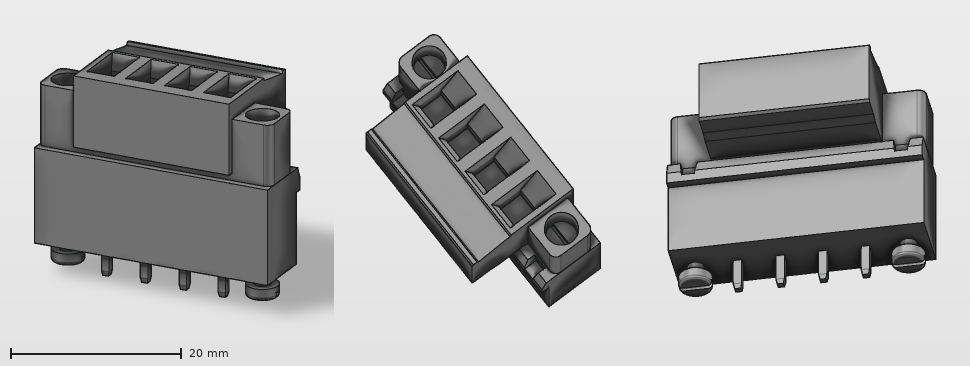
import cadquery as cq


length = 30.48
pole_count = 4
pitch = length / (pole_count + 2)
pole_xs = [pitch * (pole + 1.5) for pole in range(pole_count)]
screw_xs = [pitch / 2, length - pitch / 2]
axis_y = 3.78

header_depth = 7.62
header_height = 12.0
lip_back_y = 8.63
lip_bottom_z = 9.02
lip_bevel_z = 10.42
lip_bevel_y = 8.0
notch_width = 2.0
notch_front_y = 6.95
notch_depth = 2.0
notch_side_slant = 0.25

flange_end_inset = 0.03
flange_front_y = 0.9
flange_back_y = 6.77
flange_top_z = 19.72
flange_corner_radius = 0.95

plug_width = pole_count * pitch
plug_front_y = 0.1
plug_back_y = 15.05
plug_bottom_z = 12.95
plug_top_z = 21.9

mouth_width = 3.57
mouth_front_y = 2.07
mouth_back_y = 8.85
mouth_depth = 1.98
well_width = 3.0
well_front_y = 4.8
well_back_y = 8.0
well_depth = 2.0

screw_hole_diameter = 4.0
screw_hole_depth = 5.0
screw_hole_floor_z = flange_top_z - screw_hole_depth
upper_head_diameter = 3.8
upper_head_height = 1.0
shank_diameter = 2.0
shank_length = 1.5
lower_head_diameter = 4.0
lower_head_height = 1.55
lower_head_radius = 0.5
upper_slot_width = 0.43
lower_slot_width = 0.58
slot_depth = 0.82

pin_width = 1.0
pin_thickness = 0.95
pin_length = 4.0
pin_taper_length = 0.65
pin_tip_width = 0.73


def box(x_min, x_max, y_min, y_max, z_min, z_max):
    """Axis-aligned block between the given limits."""
    size = (x_max - x_min, y_max - y_min, z_max - z_min)
    return cq.Workplane("XY").box(*size, centered=False).translate((x_min, y_min, z_min))


def cylinder(x, diameter, z_bottom, height):
    """Upright cylinder on the common axis plane of screws and pins."""
    return cq.Workplane("XY", origin=(x, axis_y, z_bottom)).circle(diameter / 2).extrude(height)


def make_header():
    """Header body with a bevelled latching lip along its upper back edge."""
    profile = [
        (0, 0),
        (header_depth, 0),
        (header_depth, lip_bottom_z),
        (lip_back_y, lip_bottom_z),
        (lip_back_y, lip_bevel_z),
        (lip_bevel_y, header_height),
        (0, header_height),
    ]
    return cq.Workplane("YZ").polyline(profile).close().extrude(length)


def make_lip_notch(x):
    """Notch in the lip, open at the back, with sides leaning in towards its floor."""
    half_top = notch_width / 2
    half_floor = half_top - notch_side_slant
    floor_z = header_height - notch_depth
    profile = [
        (x - half_top, header_height),
        (x + half_top, header_height),
        (x + half_floor, floor_z),
        (x - half_floor, floor_z),
    ]
    start = cq.Workplane("XZ", origin=(0, lip_back_y, 0))
    return start.polyline(profile).close().extrude(lip_back_y - notch_front_y)


def make_flange():
    """Block along the top of the header, with rounded upright edges."""
    left_x = flange_end_inset
    right_x = length - flange_end_inset
    flange = box(left_x, right_x, flange_front_y, flange_back_y, header_height, flange_top_z)
    return flange.edges("|Z").fillet(flange_corner_radius)


def make_plug():
    """Plug body overhanging the back of the header."""
    profile = [
        (plug_front_y, plug_bottom_z),
        (plug_front_y, plug_top_z),
        (9.27, plug_top_z),
        (9.45, 21.58),
        (14.1, 20.8),
        (14.33, 21.18),
        (14.85, 21.1),
        (plug_back_y, 20.97),
        (plug_back_y, 13.25),
        (14.75, plug_bottom_z),
        (12.37, plug_bottom_z),
        (11.15, 12.55),
        (7.6, 12.55),
        (flange_back_y, header_height),
        (flange_front_y, header_height),
        (flange_front_y, plug_bottom_z),
    ]
    start = cq.Workplane("YZ", origin=((length - plug_width) / 2, 0, 0))
    return start.polyline(profile).close().extrude(plug_width)


def make_wire_funnel(x):
    """Tapered wire entry above a straight well."""
    mouth_center_y = (mouth_front_y + mouth_back_y) / 2
    well_center_y = (well_front_y + well_back_y) / 2
    mouth = (
        cq.Workplane("XY", origin=(x, mouth_center_y, plug_top_z))
        .rect(mouth_width, mouth_back_y - mouth_front_y)
        .workplane(offset=-mouth_depth)
        .center(0, well_center_y - mouth_center_y)
        .rect(well_width, well_back_y - well_front_y)
        .loft(ruled=True)
    )
    well_top_z = plug_top_z - mouth_depth
    half_width = well_width / 2
    well = box(
        x - half_width, x + half_width, well_front_y, well_back_y, well_top_z - well_depth, well_top_z
    )
    return mouth.union(well)


def make_slot(x, width, z_bottom):
    """Screwdriver slot running along X across a screw head."""
    reach = lower_head_diameter / 2
    half_width = width / 2
    return box(
        x - reach, x + reach, axis_y - half_width, axis_y + half_width, z_bottom, z_bottom + slot_depth
    )


def make_upper_head(x):
    """Slotted screw head lying on the floor of its access hole."""
    slot_floor_z = screw_hole_floor_z + upper_head_height - slot_depth
    head = cylinder(x, upper_head_diameter, screw_hole_floor_z, upper_head_height)
    return head.cut(make_slot(x, upper_slot_width, slot_floor_z))


def make_lower_screw(x):
    """Slotted screw hanging below the header, head rounded at the bottom."""
    head_bottom_z = -shank_length - lower_head_height
    head = cylinder(x, lower_head_diameter, head_bottom_z, lower_head_height)
    head = head.faces("<Z").edges().fillet(lower_head_radius)
    shank = cylinder(x, shank_diameter, -shank_length, shank_length)
    return head.cut(make_slot(x, lower_slot_width, head_bottom_z)).union(shank)


def make_pin(x):
    """Rectangular solder pin with a tapered tip."""
    shaft_length = pin_length - pin_taper_length
    start = cq.Workplane("XY", origin=(x, axis_y, 0))
    shaft = start.rect(pin_width, pin_thickness).extrude(-shaft_length)
    tip = (
        start.workplane(offset=-shaft_length)
        .rect(pin_width, pin_thickness)
        .workplane(offset=-pin_taper_length)
        .rect(pin_tip_width, pin_tip_width)
        .loft(ruled=True)
    )
    return shaft.union(tip)


result = make_header().union(make_flange()).union(make_plug())

for pole_x in pole_xs:
    result = result.cut(make_wire_funnel(pole_x)).union(make_pin(pole_x))

for screw_x in screw_xs:
    result = result.cut(make_lip_notch(screw_x))
    result = result.cut(cylinder(screw_x, screw_hole_diameter, screw_hole_floor_z, screw_hole_depth))
    result = result.union(make_upper_head(screw_x)).union(make_lower_screw(screw_x))